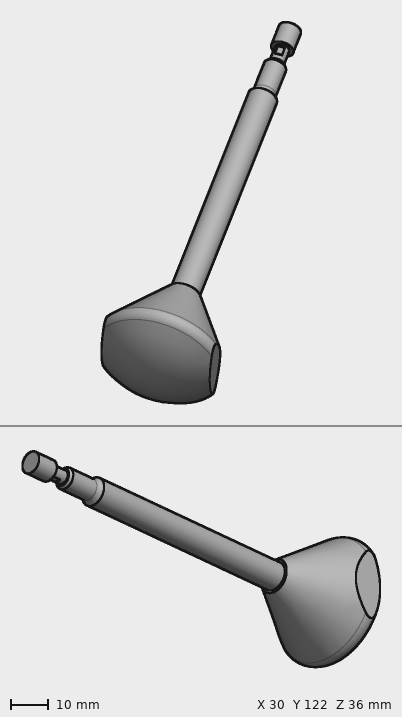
import cadquery as cq
import math

total_length = 122.0

head_length = 29.9
head_radius = 36.0 / 2
head_flat_width = 30.0
dome_radius = 25.0
rim_radius = 2.9
cone_root_radius = 4.8

shaft_radius = 4.0
shoulder_length = 1.8

drive_radius = 6.2 / 2
collar_length = 8.9
collar_chamfer_length = 1.0
collar_end_radius = 2.5
neck_radius = 4.0 / 2
neck_length = 5.2
tip_length = 6.7

neck_flat_width = 2.0
neck_flat_length = 2.6
neck_flat_gap = 0.7

tip_start = total_length - tip_length
neck_start = tip_start - neck_length
collar_end = neck_start - collar_chamfer_length
collar_start = collar_end - collar_length
shaft_end = collar_start - shoulder_length

rim_center_r = head_radius - rim_radius
rim_offset = math.sqrt((dome_radius - rim_radius) ** 2 - rim_center_r**2)
rim_center_y = dome_radius - rim_offset


def rim_point(angle):
    """Point on the rim circle, with the angle measured from the radial direction towards +Y."""
    return (
        rim_center_r + rim_radius * math.cos(angle),
        rim_center_y + rim_radius * math.sin(angle),
    )


def dome_point(angle):
    """Point on the dome, with the angle measured from the Y axis."""
    return (dome_radius * math.sin(angle), dome_radius * (1 - math.cos(angle)))


def turned_body():
    """Head, shaft and drive end as one revolved profile of (radius, Y) points."""
    dome_angle = math.atan2(rim_center_r, rim_offset)
    rim_front_angle = dome_angle - math.pi / 2

    root_dr = cone_root_radius - rim_center_r
    root_dy = head_length - rim_center_y
    root_distance = math.hypot(root_dr, root_dy)
    cone_angle = math.atan2(root_dy, root_dr) - math.acos(rim_radius / root_distance)

    shoulder_height = shaft_radius - drive_radius
    shoulder_arc_radius = (shoulder_length**2 + shoulder_height**2) / (2 * shoulder_height)
    half_sweep = math.asin(shoulder_length / shoulder_arc_radius) / 2
    shoulder_middle = (
        drive_radius + shoulder_arc_radius * (1 - math.cos(half_sweep)),
        collar_start - shoulder_arc_radius * math.sin(half_sweep),
    )

    profile = (
        cq.Workplane("XY")
        .moveTo(0, 0)
        .threePointArc(dome_point(dome_angle / 2), dome_point(dome_angle))
        .threePointArc(rim_point((rim_front_angle + cone_angle) / 2), rim_point(cone_angle))
        .lineTo(cone_root_radius, head_length)
        .lineTo(shaft_radius, head_length)
        .lineTo(shaft_radius, shaft_end)
        .threePointArc(shoulder_middle, (drive_radius, collar_start))
        .lineTo(drive_radius, collar_end)
        .lineTo(collar_end_radius, neck_start)
        .lineTo(neck_radius, neck_start)
        .lineTo(neck_radius, tip_start)
        .lineTo(drive_radius, tip_start)
        .lineTo(drive_radius, total_length)
        .lineTo(0, total_length)
        .close()
    )
    return profile.revolve(360, (0, 0, 0), (0, 1, 0))


def head_side_trims():
    """Two blocks that cut the flats on the -X and +X sides of the head."""
    block_width = head_radius
    block_x = (head_flat_width + block_width) / 2
    return (
        cq.Workplane("XY")
        .pushPoints([(-block_x, head_length / 2), (block_x, head_length / 2)])
        .box(block_width, head_length, 2 * head_radius)
    )


def neck_flat_cuts():
    """Two blocks that cut the flats on the top and bottom of the neck."""
    flat_height = math.sqrt(neck_radius**2 - (neck_flat_width / 2) ** 2)
    flat_y = tip_start - neck_flat_gap - neck_flat_length / 2
    upper = (
        cq.Workplane("XY", origin=(0, flat_y, flat_height))
        .box(2 * neck_radius, neck_flat_length, neck_radius, centered=(True, True, False))
    )
    return upper.add(upper.mirror("XY")).combine()


result = turned_body().cut(head_side_trims()).cut(neck_flat_cuts())